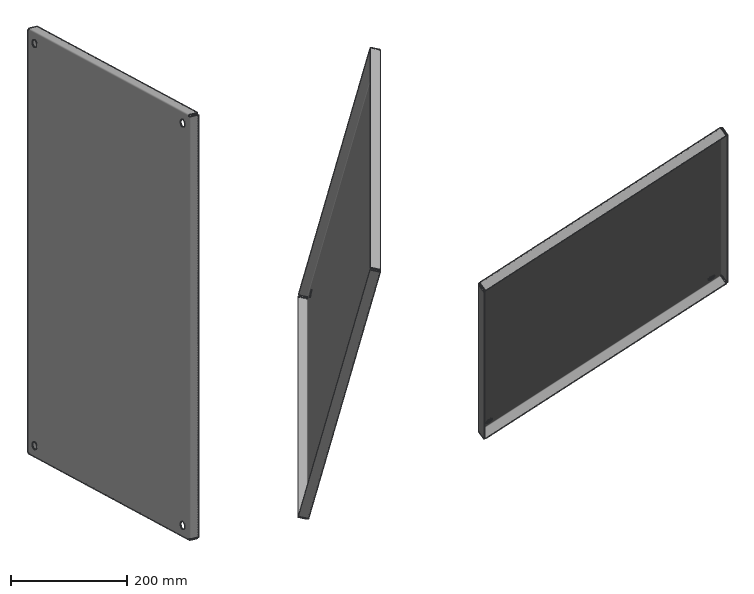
import cadquery as cq

width = 508.0
depth = 19.0
height = 784.0
sheet = 1.95
bend_radius = 3.5
hole_diameter = 14.0
hole_side_inset = 23.0
hole_end_inset = 22.0

front_y = -depth / 2
inner_radius = bend_radius - sheet
face_width = width - 2 * bend_radius
face_height = height - 2 * bend_radius


def channel(span, length):
    """U-section channel with its web at the front, extruded along Z and centred."""
    outer = cq.Workplane("XY").box(span, depth, length)
    outer = outer.edges("|Z and <Y").fillet(bend_radius)
    cavity = cq.Workplane("XY").box(span - 2 * sheet, depth, length)
    cavity = cavity.edges("|Z and <Y").fillet(inner_radius)
    return outer.cut(cavity.translate((0, sheet, 0)))


side_flanges = channel(width, face_height)
end_flanges = channel(height, face_width).rotate((0, 0, 0), (0, 1, 0), 90)

panel = side_flanges.union(end_flanges)

holes = (
    cq.Workplane("XZ", origin=(0, front_y, 0))
    .rect(width - 2 * hole_side_inset, height - 2 * hole_end_inset, forConstruction=True)
    .vertices()
    .circle(hole_diameter / 2)
    .extrude(-sheet)
)

result = panel.cut(holes)